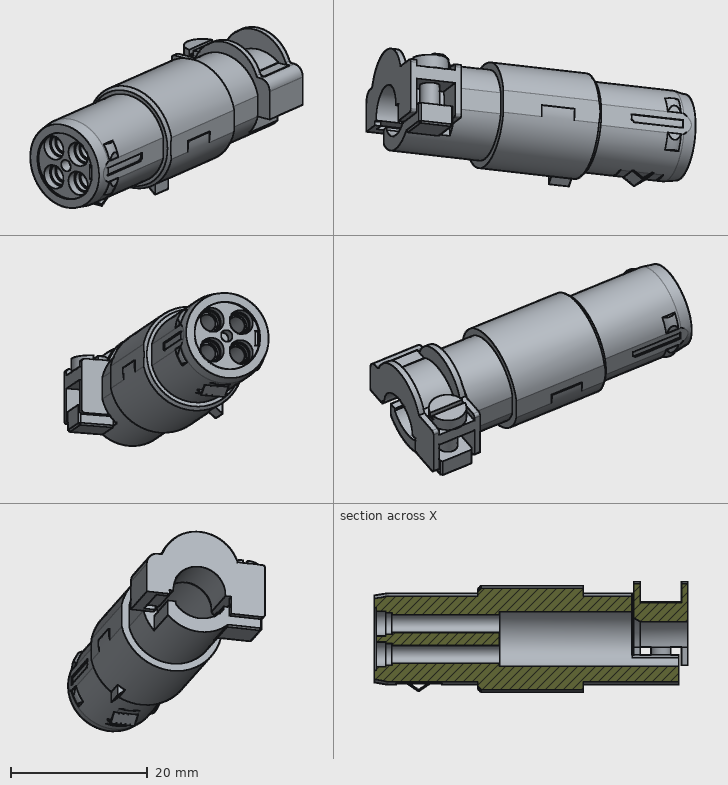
import cadquery as cq
import math


total_length = 45.95
body_radius = 6.7
body_end = 37.75
nose_length = 1.98
nose_radius = 6.4
body_flat_half_height = 1.6
body_flat_x = math.sqrt(body_radius**2 - body_flat_half_height**2)

collar_radius = 7.8
collar_start = 15.15
collar_end = 30.65
collar_chamfer = 0.5
collar_flat_x = 7.65
collar_pad_start = 19.55
collar_pad_end = 24.68

recess_radius = 5.05
recess_depth = 0.3
contact_offset = 2.25
contact_steps = [(1.8, 1.4), (1.55, 2.3)]
contact_radius = 1.3
pilot_radius = 0.87
pilot_depth = 1.85
notch_inner_x = 4.4
notch_outer_x = 4.95
notch_half_height = 1.1
notch_depth = 0.45
cavity_radius = 4.6
cavity_start = 18.4

groove_half_height = 0.6
groove_length = 8.15
groove_floor_radius = 6.25
groove_corner = 0.4
lug_center_y = 3.4
lug_half_width = 1.05
lug_crest_radius = 7.08
lug_flat_x = 6.55
lug_top_z = 3.95
lug_root_depth = 0.45
latch_flat_z = 6.52
latch_flat_start = 3.2
latch_flat_end = 9.93
latch_half_width = 1.85
latch_half_span = 1.7
latch_apex_y = 6.52
latch_apex_z = 7.67
latch_sheet = 0.25
dart_inner_x = 3.45
dart_outer_x = 4.6
dart_tip_z = 7.95
dart_start = 15.65
dart_end = 18.85

trough_end = 44.6
trough_top_z = -2.35
trough_left_x = -4.27
trough_right_x = 4.85
trough_channel_half_width = 3.68
ear_left_x = -9.6
ear_start = 39.25
ear_bottom_z = -5.38
ear_chamfer = 0.28

clamp_start = 38.0
flange_thickness = 0.95
flange_arc_x = 0.35
flange_arc_radius = 6.1
flange_top_z = 8.4
clamp_left_x = -9.6
clamp_right_x = 8.5
clamp_top_z = 4.27
left_leg_bottom_z = -3.85
right_leg_bottom_z = -1.8
left_corner_radius = 0.45
right_corner_radius = 1.65
plate_bottom_z = 1.3
plate_top_z = 3.25
right_wall_x = 6.75
shelf_top_z = 4.2
shelf_left_x = 4.75
disc_blend_radius = 0.45
saddle_x = 1.05
saddle_z = -0.8
saddle_radius = 6.25
saddle_bottom_z = -1.2
cable_bore_x = 0.45
cable_bore_z = -1.05
cable_bore_radius = 4.0
cable_bore_flare = 0.5
leg_clearance = 0.15

screw_x = -7.0
screw_head_radius = 2.75
screw_head_top_z = 5.2
screw_shank_radius = 1.45
screw_slot_width = 0.75
screw_slot_depth = 0.8


def block(x_min, x_max, y_min, y_max, z_min, z_max):
    size = (x_max - x_min, y_max - y_min, z_max - z_min)
    return cq.Workplane("XY").box(*size, centered=False).translate((x_min, y_min, z_min))


def rod(radius, y_min, y_max, x=0.0, z=0.0):
    """Cylinder along Y."""
    return cq.Workplane("XZ", origin=(x, y_min, z)).circle(radius).extrude(y_min - y_max)


def cone(radius_start, radius_end, y_min, y_max, x=0.0, z=0.0):
    """Truncated cone along Y."""
    length = y_max - y_min
    solid = cq.Solid.makeCone(radius_start, radius_end, length, cq.Vector(x, y_min, z), cq.Vector(0, 1, 0))
    return cq.Workplane(obj=solid)


def both_sides(shape):
    """The shape and its mirror image across X = 0."""
    return shape.union(shape.mirror("YZ"))


def outer_side(flat_x, half_height, y_min, y_max):
    """Material outside a flat on the -X side."""
    return block(-2 * collar_radius, -flat_x, y_min, y_max, -half_height, half_height)


def make_body():
    body = rod(body_radius, nose_length, body_end).union(cone(nose_radius, body_radius, 0, nose_length))
    body = body.cut(both_sides(outer_side(body_flat_x, body_flat_half_height, 0, body_end)))
    latch_flat = block(
        -body_radius, body_radius, latch_flat_start, latch_flat_end, -2 * body_radius, -latch_flat_z
    )
    return body.cut(latch_flat)


def make_collar():
    collar = rod(collar_radius, collar_start, collar_end).faces("<Y").chamfer(collar_chamfer)
    half_height = math.sqrt(collar_radius**2 - collar_flat_x**2)
    flat = outer_side(collar_flat_x, half_height, collar_start, collar_end)
    pad = block(-2 * collar_radius, 0, collar_pad_start, collar_pad_end, -2 * half_height, 0)
    return collar.cut(both_sides(flat.cut(pad)))


def make_lugs():
    """Four rounded lugs, two on each side of the body."""
    inner_radius = body_radius - lug_root_depth
    lug_start = lug_center_y - lug_half_width
    lug_end = lug_center_y + lug_half_width
    ring = (
        cq.Workplane("XY")
        .moveTo(inner_radius, lug_start)
        .lineTo(body_radius, lug_start)
        .threePointArc((lug_crest_radius, lug_center_y), (body_radius, lug_end))
        .lineTo(inner_radius, lug_end)
        .close()
        .revolve(360, (0, 0, 0), (0, 1, 0))
    )
    upper = block(-lug_flat_x, lug_flat_x, lug_start, lug_end, body_flat_half_height, lug_top_z)
    return ring.intersect(upper.union(upper.mirror("XY")))


def make_side_grooves():
    groove = block(
        -body_radius,
        -body_radius / 2,
        nose_length,
        nose_length + groove_length,
        -groove_half_height,
        groove_half_height,
    )
    groove = groove.edges("|X and >Y and <Z").chamfer(groove_corner)
    return both_sides(groove.cut(rod(groove_floor_radius, 0, body_end)))


def make_latch():
    """Thin V-shaped spring sheet under the nose."""
    root_z = -latch_flat_z + latch_sheet
    return (
        cq.Workplane("YZ", origin=(-latch_half_width, 0, 0))
        .moveTo(latch_apex_y - latch_half_span, root_z)
        .lineTo(latch_apex_y - latch_half_span, -latch_flat_z)
        .lineTo(latch_apex_y, -latch_apex_z)
        .lineTo(latch_apex_y + latch_half_span, -latch_flat_z)
        .lineTo(latch_apex_y + latch_half_span, root_z)
        .lineTo(latch_apex_y, -latch_apex_z + latch_sheet)
        .close()
        .extrude(2 * latch_half_width)
    )


def make_dart():
    """Pointed index mark under the collar."""
    return (
        cq.Workplane("XZ", origin=(0, dart_start, 0))
        .moveTo(dart_inner_x, -math.sqrt(collar_radius**2 - dart_inner_x**2))
        .lineTo(dart_outer_x, -dart_tip_z)
        .lineTo(dart_outer_x, -body_radius / 2)
        .lineTo(dart_inner_x, -body_radius / 2)
        .close()
        .extrude(dart_start - dart_end)
    )


def make_insert_openings():
    openings = rod(recess_radius, 0, recess_depth)
    openings = openings.union(rod(pilot_radius, 0, recess_depth + pilot_depth))
    for x in (-contact_offset, contact_offset):
        for z in (-contact_offset, contact_offset):
            openings = openings.union(rod(contact_radius, 0, cavity_start, x, z))
            for radius, depth in contact_steps:
                openings = openings.union(rod(radius, 0, recess_depth + depth, x, z))
    key_notch = block(
        notch_inner_x, notch_outer_x, 0, recess_depth + notch_depth, -notch_half_height, notch_half_height
    )
    return openings.union(key_notch).union(rod(cavity_radius, cavity_start, body_end))


def make_trough():
    """Open cable channel with an ear that takes the screw."""
    trough = rod(body_radius, body_end, trough_end)
    trough = trough.intersect(
        block(trough_left_x, trough_right_x, body_end, trough_end, -body_radius, trough_top_z)
    )
    ear = block(ear_left_x, trough_left_x, ear_start, trough_end, ear_bottom_z, trough_top_z)
    ear = ear.edges("<X and |Z").chamfer(ear_chamfer).faces("<Z").edges("not >X").chamfer(ear_chamfer)
    channel = rod(cavity_radius, body_end, trough_end).intersect(
        block(
            -trough_channel_half_width,
            trough_channel_half_width,
            body_end,
            trough_end,
            -cavity_radius,
            cavity_radius,
        )
    )
    return trough.union(ear).cut(channel)


def make_clamp():
    left = block(
        clamp_left_x, flange_arc_x, clamp_start, total_length, left_leg_bottom_z, clamp_top_z
    )
    left = left.edges("<X and |Y").fillet(left_corner_radius)
    right = block(
        flange_arc_x, clamp_right_x, clamp_start, total_length, right_leg_bottom_z, clamp_top_z
    )
    right = right.edges(">X and >Z").fillet(right_corner_radius)
    flange_arc_z = flange_top_z - flange_arc_radius
    disc = rod(flange_arc_radius, clamp_start, total_length, flange_arc_x, flange_arc_z)
    disc = disc.intersect(
        block(clamp_left_x, clamp_right_x, clamp_start, total_length, right_leg_bottom_z, flange_top_z)
    )
    clamp = left.union(right).union(disc)

    corner_x = flange_arc_x + math.sqrt(flange_arc_radius**2 - (clamp_top_z - flange_arc_z) ** 2)
    corner_point = (corner_x, (clamp_start + total_length) / 2, clamp_top_z)
    clamp = clamp.edges("|Y").edges(cq.NearestToPointSelector(corner_point)).fillet(disc_blend_radius)

    gap_start = clamp_start + flange_thickness
    gap_end = total_length - flange_thickness
    gap = block(clamp_left_x, right_wall_x, gap_start, gap_end, left_leg_bottom_z, flange_top_z)
    shelf = block(shelf_left_x, right_wall_x, gap_start, gap_end, saddle_bottom_z, shelf_top_z)
    plate = block(clamp_left_x, shelf_left_x, gap_start, gap_end, plate_bottom_z, plate_top_z)
    saddle = rod(saddle_radius, gap_start, gap_end, saddle_x, saddle_z)
    saddle = saddle.intersect(
        block(saddle_x - saddle_radius, shelf_left_x, gap_start, gap_end, saddle_bottom_z, flange_top_z)
    )
    clamp = clamp.cut(gap).union(plate).union(saddle).union(shelf)

    bore = rod(cable_bore_radius, clamp_start, total_length, cable_bore_x, cable_bore_z)
    mouth_radius = cable_bore_radius + cable_bore_flare
    flare = cone(mouth_radius, cable_bore_radius, clamp_start, gap_start, cable_bore_x, cable_bore_z)
    leg_opening = block(
        trough_left_x - leg_clearance,
        trough_right_x + leg_clearance,
        clamp_start,
        total_length,
        left_leg_bottom_z - flange_arc_radius,
        saddle_bottom_z,
    )
    return clamp.cut(bore).cut(flare).cut(leg_opening)


def make_screw():
    screw_y = (clamp_start + total_length) / 2
    base = cq.Workplane("XY", origin=(screw_x, screw_y, ear_bottom_z))
    shank = base.circle(screw_shank_radius).extrude(plate_top_z - ear_bottom_z)
    head = (
        cq.Workplane("XY", origin=(screw_x, screw_y, plate_top_z))
        .circle(screw_head_radius)
        .extrude(screw_head_top_z - plate_top_z)
    )
    slot = block(
        screw_x - screw_slot_width / 2,
        screw_x + screw_slot_width / 2,
        clamp_start,
        total_length,
        screw_head_top_z - screw_slot_depth,
        screw_head_top_z,
    )
    return shank.union(head.cut(slot))


plug = make_body().union(make_collar()).union(make_lugs()).union(make_latch()).union(make_dart())
plug = plug.cut(make_side_grooves()).cut(make_insert_openings())
result = plug.union(make_trough()).union(make_screw()).union(make_clamp())